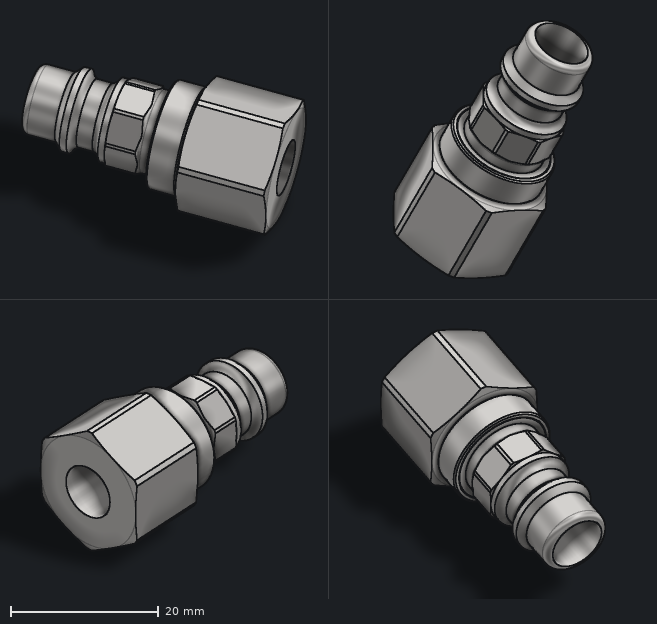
import cadquery as cq
import math


total_length = 36.5
bore_radius = 7.85 / 2
nose_radius = 10.0 / 2
nose_rounding = 1.0

collar_radius = 12.0 / 2
collar_cone_start = 5.0
collar_start = collar_cone_start + (collar_radius - nose_radius)
collar_end = 7.0
groove_radius = 9.75 / 2
groove_start = 8.05
groove_end = 10.35
shoulder_start = 11.5
flank_radius = 2.0

octagon_sides = 8
octagon_start = 12.45
octagon_flats = 2 * collar_radius
octagon_corner_radius = 12.8 / 2
octagon_front_angle = 20.0
octagon_rear_fillet = 0.6

neck_radius = 11.9 / 2
neck_start = 17.45
hub_radius = 13.85 / 2
hub_start = 18.95

ring_end = 23.25
ring_radius = 15.5 / 2
ring_bore_radius = 14.05 / 2
ring_chamfer = 0.22

hexagon_sides = 6
hexagon_gap = 0.25
hexagon_start = ring_end + hexagon_gap
hexagon_flats = 17.0
hexagon_corner_radius = 19.15 / 2
hexagon_end_angle = 16.0


def bevel_depth(inner_radius, outer_radius, angle):
    """Axial length of a cone between two radii, its angle taken from the end plane."""
    return (outer_radius - inner_radius) * math.tan(math.radians(angle))


def hollow_arc_middle(start, end, radius):
    """Middle point of an arc between two profile points that sags toward the axis."""
    chord_x = end[0] - start[0]
    chord_r = end[1] - start[1]
    chord = math.hypot(chord_x, chord_r)
    sag = radius - math.sqrt(radius**2 - (chord / 2) ** 2)
    middle_x = (start[0] + end[0]) / 2 + sag * chord_r / chord
    middle_r = (start[1] + end[1]) / 2 - sag * chord_x / chord
    return (middle_x, middle_r)


def revolve_about_x(profile):
    return profile.close().revolve(360, (0, 0, 0), (1, 0, 0))


def polygon_bar(sides, flats, start, end):
    """Regular bar along X with one flat facing -Y."""
    corner_diameter = flats / math.cos(math.pi / sides)
    bar = cq.Workplane("YZ").polygon(sides, corner_diameter).extrude(end - start)
    return bar.rotate((0, 0, 0), (1, 0, 0), 180 / sides).translate((start, 0, 0))


def make_turned_front():
    """Nose, locking collar, groove, shoulder, neck and hub as one turned solid."""
    collar_edge = (collar_end, collar_radius)
    groove_front = (groove_start, groove_radius)
    groove_rear = (groove_end, groove_radius)
    shoulder_edge = (shoulder_start, collar_radius)
    rounding_offset = nose_rounding * (1 - math.sqrt(0.5))
    profile = (
        cq.Workplane("XY")
        .moveTo(0, 0)
        .lineTo(0, nose_radius - nose_rounding)
        .threePointArc(
            (rounding_offset, nose_radius - rounding_offset),
            (nose_rounding, nose_radius),
        )
        .lineTo(collar_cone_start, nose_radius)
        .lineTo(collar_start, collar_radius)
        .lineTo(*collar_edge)
        .threePointArc(hollow_arc_middle(collar_edge, groove_front, flank_radius), groove_front)
        .lineTo(*groove_rear)
        .threePointArc(hollow_arc_middle(groove_rear, shoulder_edge, flank_radius), shoulder_edge)
        .lineTo(octagon_start, collar_radius)
        .lineTo(octagon_start, neck_radius)
        .lineTo(hub_start, neck_radius)
        .lineTo(hub_start, hub_radius)
        .lineTo(hexagon_start, hub_radius)
        .lineTo(hexagon_start, 0)
    )
    return revolve_about_x(profile)


def make_octagon():
    """Octagon with turned corners, a front bevel and a hollow run-out into the neck."""
    bevel_end = octagon_start + bevel_depth(collar_radius, octagon_corner_radius, octagon_front_angle)
    arc_center = (neck_start, neck_radius + octagon_rear_fillet)
    arc_start_angle = math.asin((arc_center[1] - octagon_corner_radius) / octagon_rear_fillet)
    arc_middle_angle = (arc_start_angle + math.pi / 2) / 2

    def arc_point(angle):
        return (
            arc_center[0] - octagon_rear_fillet * math.cos(angle),
            arc_center[1] - octagon_rear_fillet * math.sin(angle),
        )

    envelope = (
        cq.Workplane("XY")
        .moveTo(octagon_start, 0)
        .lineTo(octagon_start, collar_radius)
        .lineTo(bevel_end, octagon_corner_radius)
        .lineTo(*arc_point(arc_start_angle))
        .threePointArc(arc_point(arc_middle_angle), (neck_start, neck_radius))
        .lineTo(neck_start, 0)
    )
    bar = polygon_bar(octagon_sides, octagon_flats, octagon_start, neck_start)
    return bar.intersect(revolve_about_x(envelope))


def make_hexagon():
    """Hexagon with turned corners and a bevel at both ends."""
    face_radius = hexagon_flats / 2
    bevel = bevel_depth(face_radius, hexagon_corner_radius, hexagon_end_angle)
    envelope = (
        cq.Workplane("XY")
        .moveTo(hexagon_start, 0)
        .lineTo(hexagon_start, face_radius)
        .lineTo(hexagon_start + bevel, hexagon_corner_radius)
        .lineTo(total_length - bevel, hexagon_corner_radius)
        .lineTo(total_length, face_radius)
        .lineTo(total_length, 0)
    )
    bar = polygon_bar(hexagon_sides, hexagon_flats, hexagon_start, total_length)
    return bar.intersect(revolve_about_x(envelope))


def make_plug():
    bore = cq.Workplane("YZ").circle(bore_radius).extrude(total_length)
    return make_turned_front().union(make_octagon()).union(make_hexagon()).cut(bore)


def make_ring():
    """Loose ring on the hub, flush with the hub's front face."""
    blank = (
        cq.Workplane("YZ", origin=(hub_start, 0, 0))
        .circle(ring_radius)
        .extrude(ring_end - hub_start)
        .edges()
        .chamfer(ring_chamfer)
    )
    bore = (
        cq.Workplane("YZ", origin=(hub_start, 0, 0))
        .circle(ring_bore_radius)
        .extrude(ring_end - hub_start)
    )
    return blank.cut(bore)


plug = make_plug()
ring = make_ring()

result = cq.Compound.makeCompound([plug.val(), ring.val()])